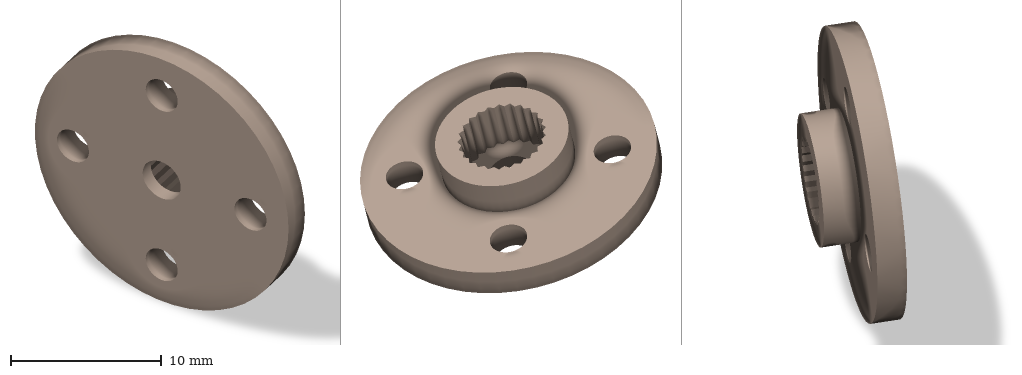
import cadquery as cq
import math

flange_diameter = 20
flange_thickness = 2

hub_diameter = 9
hub_height = 2.5

mount_hole_diameter = 2.52
mount_circle_diameter = 14
mount_hole_count = 4

screw_bore_diameter = 3
screw_bore_depth = 1
tooth_count = 25
spline_root_diameter = 6
spline_tip_diameter = 5.5

total_depth = flange_thickness + hub_height


def cylinder(diameter, start, length):
    """Cylinder about the Y axis, from Y = start towards +Y."""
    plane = cq.Workplane("XZ", origin=(0, start, 0))
    return plane.circle(diameter / 2).extrude(-length)


def mounting_holes():
    plane = cq.Workplane("XZ")
    centers = plane.polarArray(mount_circle_diameter / 2, 0, 360, mount_hole_count)
    return centers.circle(mount_hole_diameter / 2).extrude(-flange_thickness)


def spline_socket():
    """Socket with V-shaped teeth, from the end of the screw bore to the hub face."""
    half_pitch = math.pi / tooth_count
    points = []
    for i in range(2 * tooth_count):
        diameter = spline_root_diameter if i % 2 == 0 else spline_tip_diameter
        angle = i * half_pitch
        points.append((diameter / 2 * math.cos(angle), diameter / 2 * math.sin(angle)))
    plane = cq.Workplane("XZ", origin=(0, screw_bore_depth, 0))
    return plane.polyline(points).close().extrude(-(total_depth - screw_bore_depth))


flange = cylinder(flange_diameter, 0, flange_thickness)
hub = cylinder(hub_diameter, flange_thickness, hub_height)
screw_bore = cylinder(screw_bore_diameter, 0, screw_bore_depth)

result = flange.union(hub).cut(mounting_holes()).cut(screw_bore).cut(spline_socket())